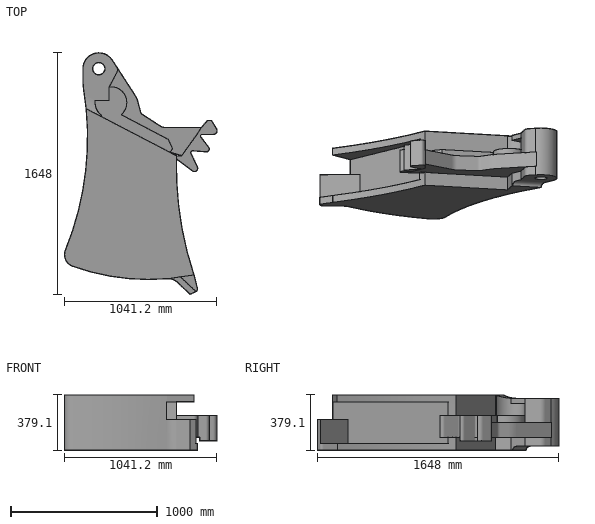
import cadquery as cq
import math


HEIGHT = 379.09
PLATE = 48.0
HINGE_TOP = 355.0
HINGE_BOTTOM = 28.5
HINGE_EAR = 35.0
LUG_TOP = 212.0
ARM_BOTTOM = 89.0
ARM_TOP = 189.0
TEETH_TOP = 239.0
TEETH_BOTTOM = 64.0

LEFT_CENTER = (-2157.0, -470.0)
LEFT_RADIUS = 2079.0
RIGHT_CENTER = (2830.0, -672.0)
RIGHT_RADIUS = 2300.0
FRONT_CENTER = (339.0, 86.0)
FRONT_RADIUS = 1524.0
FRONT_CORNER_RADIUS = 85.0
FRONT_LEFT_Y = -1325.0
FRONT_RIGHT_Y = -1404.0
BACK_LEFT_Y = -272.0
BACK_RIGHT_Y = -594.0

HINGE_RADIUS = 109.0
HOLE_RADIUS = 41.0
HINGE_STRAIGHT_END_Y = -90.0
BLEND_END_Y = -135.0
SHOULDER_START = (96.0, 52.0)
SHOULDER_TIP = (134.0, -5.0)
SHOULDER_RADIUS = 40.0
RAMP_WIDTH = 78.0
RAMP_END_X = 16.0
COVE_RADIUS = HINGE_BOTTOM
COVE_EDGE_Y = -115.0
EAR_X = 71.0
EAR_CORNER_Y = -125.0
EAR_END_Y = -218.0

PIVOT_CENTER = (83.0, -231.0)
PIVOT_RADIUS = 108.0
BAR_OUTER_START = (158.0, -316.0)
BAR_OUTER_END = (474.0, -482.0)
BAR_TIP = (503.0, -546.0)
BAR_END_X = 486.0

ARM_EDGE = [
    (93.0, 58.0, 0),
    (262.0, -203.0, 150.0),
    (288.0, -305.0, 30.0),
    (434.0, -400.0, 60.0),
]

TEETH_ROOT = [
    (700.0, -400.0, 0),
    (669.0, -449.0, 0),
    (565.0, -594.0, 0),
]

TEETH_PROFILE = [
    (741.0, -352.0, 15.0),
    (769.0, -352.0, 15.0),
    (827.0, -449.0, 26.0),
    (684.0, -449.0, 10.0),
    (777.0, -571.0, 20.0),
    (621.0, -559.0, 12.0),
    (711.0, -751.0, 22.5),
]
TEETH_ANCHOR = (500.0, -594.0)
DEEP_TEETH_X = 688.0

RECESS_X = 463.0

LUG_BLEND_START_X = 467.0
LUG_BLEND_MID = (503.0, -1437.5)
LUG_BLEND_END = (532.0, -1453.0)
LUG_TIP = (623.0, -1539.0)
LUG_WALL_END = (663.0, -1520.0)
LUG_OUTER = (677.0, -1513.3)
LUG_OUTER_RADIUS = 20.0

FAR = 3000.0


def arc_x(center, radius, y, side):
    """X of a circle at the given Y; side is +1 or -1."""
    return center[0] + side * math.sqrt(radius**2 - (y - center[1]) ** 2)


def left_x(y):
    return arc_x(LEFT_CENTER, LEFT_RADIUS, y, 1)


def right_x(y):
    return arc_x(RIGHT_CENTER, RIGHT_RADIUS, y, -1)


def front_y(x):
    return FRONT_CENTER[1] - math.sqrt(FRONT_RADIUS**2 - (x - FRONT_CENTER[0]) ** 2)


BACK_LEFT = (left_x(BACK_LEFT_Y), BACK_LEFT_Y)
BACK_RIGHT = (right_x(BACK_RIGHT_Y), BACK_RIGHT_Y)
BACK_ANGLE = math.atan2(BACK_RIGHT[1] - BACK_LEFT[1], BACK_RIGHT[0] - BACK_LEFT[0])
BACK_SLOPE = math.tan(BACK_ANGLE)


def back_y(x):
    return BACK_LEFT[1] + BACK_SLOPE * (x - BACK_LEFT[0])


def plane_at(z):
    return cq.Workplane("XY").workplane(offset=z)


def prism(points, z_low, z_high):
    return plane_at(z_low).polyline(points).close().extrude(z_high - z_low)


def disc(center, radius, z_low, z_high):
    return plane_at(z_low).center(*center).circle(radius).extrude(z_high - z_low)


def rounded_prism(corners, z_low, z_high):
    """Prism over corners given as (x, y, radius); a zero radius keeps the corner sharp."""
    outline = []
    count = len(corners)
    for i, (x, y, radius) in enumerate(corners):
        to_last = math.atan2(corners[i - 1][1] - y, corners[i - 1][0] - x)
        following = corners[(i + 1) % count]
        to_next = math.atan2(following[1] - y, following[0] - x)
        half = abs(math.remainder(to_next - to_last, math.tau)) / 2
        setback = radius / math.tan(half)
        middle = to_last + math.remainder(to_next - to_last, math.tau) / 2
        reach = radius / math.sin(half) - radius
        start = (x + setback * math.cos(to_last), y + setback * math.sin(to_last))
        through = (x + reach * math.cos(middle), y + reach * math.sin(middle))
        end = (x + setback * math.cos(to_next), y + setback * math.sin(to_next))
        outline.append((radius, start, through, end))
    sketch = plane_at(z_low).moveTo(*outline[0][3])
    for radius, start, through, end in outline[1:] + outline[:1]:
        sketch = sketch.lineTo(*start)
        if radius > 0:
            sketch = sketch.threePointArc(through, end)
    return sketch.close().extrude(z_high - z_low)


def nearest(point):
    return cq.selectors.NearestToPointSelector(point)


def make_body():
    """Full-height slab: the main body and the neck that leads to the hinge."""
    flank_start = (left_x(BLEND_END_Y), BLEND_END_Y)
    flank_mid_y = (BLEND_END_Y + FRONT_LEFT_Y) / 2
    front_left_x = left_x(FRONT_LEFT_Y)
    front_left = (front_left_x, front_y(front_left_x))
    facet_start = (LUG_BLEND_START_X, front_y(LUG_BLEND_START_X))
    front_right_x = right_x(FRONT_RIGHT_Y)
    front_right = (front_right_x, front_y(front_right_x))
    right_mid_y = (BACK_RIGHT_Y + FRONT_RIGHT_Y) / 2
    slab = (
        cq.Workplane("XY")
        .moveTo(-HINGE_RADIUS, 0)
        .lineTo(-HINGE_RADIUS, HINGE_STRAIGHT_END_Y)
        .lineTo(*flank_start)
        .threePointArc((left_x(flank_mid_y), flank_mid_y), front_left)
        .threePointArc((FRONT_CENTER[0], FRONT_CENTER[1] - FRONT_RADIUS), facet_start)
        .lineTo(*front_right)
        .threePointArc((right_x(right_mid_y), right_mid_y), BACK_RIGHT)
        .lineTo(RAMP_END_X, back_y(RAMP_END_X))
        .lineTo(EAR_X, EAR_END_Y)
        .lineTo(EAR_X, 0)
        .close()
        .extrude(HEIGHT)
    )
    return slab.edges(nearest((*front_left, HEIGHT / 2))).fillet(FRONT_CORNER_RADIUS)


def make_hinge():
    """Hinge hub with the shoulder that narrows to its right flank, at full height."""
    shoulder_corners = [
        (0, 0, 0),
        (*SHOULDER_START, 0),
        (*SHOULDER_TIP, SHOULDER_RADIUS),
        (EAR_X, EAR_CORNER_Y, 0),
        (0, EAR_CORNER_Y, 0),
    ]
    return disc((0, 0), HINGE_RADIUS, 0, HEIGHT).union(rounded_prism(shoulder_corners, 0, HEIGHT))


def make_recess():
    """Pocket between the plates, open on the right; the lug wall crosses its lower part."""
    wall_drop = PLATE / math.cos(BACK_ANGLE)
    back_left = (RECESS_X, back_y(RECESS_X) - wall_drop)
    back_right = (FAR, back_y(FAR) - wall_drop)
    lower = prism(
        [(RECESS_X, lug_wall_y(RECESS_X)), back_left, back_right, (FAR, lug_wall_y(FAR))], PLATE, LUG_TOP
    )
    upper = prism([(RECESS_X, -FAR), back_left, back_right, (FAR, -FAR)], LUG_TOP, HEIGHT - PLATE)
    return lower.union(upper)


def across_back_edge(left_point):
    """Section plane at a left flank point: x runs away from the body, y is up."""
    along = (math.cos(BACK_ANGLE), math.sin(BACK_ANGLE), 0)
    away = (-math.sin(BACK_ANGLE), math.cos(BACK_ANGLE), 0)
    return cq.Workplane(cq.Plane(origin=(*left_point, 0), xDir=away, normal=along))


def make_ramp_cut():
    """Space above the hinge; a concave ramp rises from the hinge top to the top plate."""
    rise = HEIGHT - HINGE_TOP
    radius = (RAMP_WIDTH**2 + rise**2) / (2 * rise)
    half_angle = math.atan2(RAMP_WIDTH, radius - rise) / 2
    mid = (RAMP_WIDTH - radius * math.sin(half_angle), HINGE_TOP + radius * (1 - math.cos(half_angle)))
    return (
        across_back_edge(BACK_LEFT)
        .moveTo(0, HEIGHT)
        .threePointArc(mid, (RAMP_WIDTH, HINGE_TOP))
        .lineTo(FAR, HINGE_TOP)
        .lineTo(FAR, HEIGHT)
        .close()
        .extrude(FAR, both=True)
    )


def make_cove_cut():
    """Space below the hinge; a quarter-round cove drops from the hinge to the underside."""
    diagonal = COVE_RADIUS * math.sqrt(0.5)
    return (
        across_back_edge((-HINGE_RADIUS, COVE_EDGE_Y))
        .moveTo(0, 0)
        .threePointArc((COVE_RADIUS - diagonal, diagonal), (COVE_RADIUS, COVE_RADIUS))
        .lineTo(FAR, COVE_RADIUS)
        .lineTo(FAR, 0)
        .close()
        .extrude(FAR, both=True)
    )


def make_pivot_clearance():
    """Round gap above the pivot disc, leaving only the hinge ear over it and the body beside it."""
    ear = prism(
        [(-FAR, EAR_END_Y), (EAR_X, EAR_END_Y), (EAR_X, FAR), (-FAR, FAR)], HINGE_TOP - HINGE_EAR, HEIGHT
    )
    body_side = prism([(-FAR, back_y(-FAR)), (FAR, back_y(FAR)), (FAR, -FAR), (-FAR, -FAR)], 0, HEIGHT)
    return disc(PIVOT_CENTER, PIVOT_RADIUS, TEETH_TOP, HEIGHT).cut(ear).cut(body_side)


def make_pivot_bar():
    """Pivot disc with the straight bar along the back edge, raised above the arm."""
    points = [
        PIVOT_CENTER,
        BAR_OUTER_START,
        BAR_OUTER_END,
        BAR_TIP,
        (BAR_END_X, back_y(BAR_END_X)),
        (0, back_y(0)),
    ]
    bar = prism(points, ARM_BOTTOM, TEETH_TOP)
    return disc(PIVOT_CENTER, PIVOT_RADIUS, ARM_BOTTOM, TEETH_TOP).union(bar)


def make_arm():
    """Flat arm between the hinge, the back edge and the teeth."""
    back = [(BAR_END_X, back_y(BAR_END_X), 0), (0, back_y(0), 0)]
    return rounded_prism([(0, 0, 0)] + ARM_EDGE + TEETH_ROOT + back, ARM_BOTTOM, ARM_TOP)


def make_teeth():
    """Toothed end of the arm, thicker than the arm and deepest at the outer end."""
    corners = TEETH_PROFILE + [(*TEETH_ANCHOR, 0)] + TEETH_ROOT[::-1]
    shallow_side = prism(
        [(-FAR, -FAR), (DEEP_TEETH_X, -FAR), (DEEP_TEETH_X, FAR), (-FAR, FAR)], TEETH_BOTTOM, ARM_BOTTOM
    )
    return rounded_prism(corners, TEETH_BOTTOM, TEETH_TOP).cut(shallow_side)


def lug_wall_y(x):
    """Inner face of the lug wall, parallel to its outer face."""
    slope = (LUG_TIP[1] - LUG_BLEND_END[1]) / (LUG_TIP[0] - LUG_BLEND_END[0])
    return LUG_WALL_END[1] + slope * (x - LUG_WALL_END[0])


def make_lug():
    """Lug block at the front right corner, reaching into the body."""
    lug = (
        cq.Workplane("XY")
        .moveTo(RECESS_X, FRONT_RIGHT_Y)
        .lineTo(LUG_BLEND_START_X, front_y(LUG_BLEND_START_X))
        .threePointArc(LUG_BLEND_MID, LUG_BLEND_END)
        .lineTo(*LUG_TIP)
        .lineTo(*LUG_OUTER)
        .lineTo(right_x(FRONT_RIGHT_Y), FRONT_RIGHT_Y)
        .close()
        .extrude(LUG_TOP)
    )
    return lug.edges(nearest((*LUG_OUTER, LUG_TOP / 2))).fillet(LUG_OUTER_RADIUS)


result = make_body().union(make_hinge()).union(make_lug())
for space in (make_ramp_cut(), make_cove_cut(), make_recess(), make_pivot_clearance()):
    result = result.cut(space)
for addition in (make_arm(), make_pivot_bar(), make_teeth()):
    result = result.union(addition)
result = result.cut(disc((0, 0), HOLE_RADIUS, 0, HEIGHT))